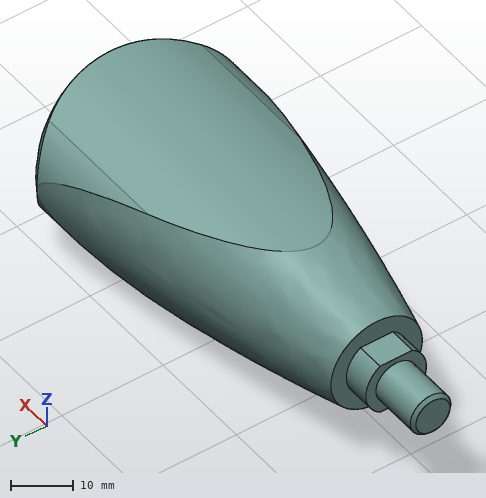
import cadquery as cq
import math

total_length = 92.2
collar_start = 10.05
grip_start = 15.4
rim_position = 79.9

stud_diameter = 8.0
stud_chamfer = 0.6
collar_diameter = 12.0
collar_across_flats = 10.1

grip_start_diameter = 18.1
rim_diameter = 41.0
side_bulge = 1.3

oval_width = 41.0
oval_height = 26.0
oval_end_radius = 10.4


def make_stud():
    stud = cq.Workplane("YZ").circle(stud_diameter / 2).extrude(grip_start)
    return stud.faces("<X").chamfer(stud_chamfer)


def make_collar():
    collar_length = grip_start - collar_start
    collar = cq.Workplane("YZ", origin=(collar_start, 0, 0)).circle(collar_diameter / 2).extrude(collar_length)
    flats = cq.Workplane("YZ", origin=(collar_start, 0, 0)).rect(collar_diameter, collar_across_flats)
    return collar.intersect(flats.extrude(collar_length))


def make_turned_grip():
    start_radius = grip_start_diameter / 2
    rim_radius = rim_diameter / 2

    chord_angle = math.atan2(rim_radius - start_radius, rim_position - grip_start)
    side_middle = (
        (grip_start + rim_position) / 2 - side_bulge * math.sin(chord_angle),
        (start_radius + rim_radius) / 2 + side_bulge * math.cos(chord_angle),
    )

    dome_height = total_length - rim_position
    dome_radius = (rim_radius**2 + dome_height**2) / (2 * dome_height)
    dome_half_angle = math.asin(rim_radius / dome_radius) / 2
    dome_middle = (
        total_length - dome_radius * (1 - math.cos(dome_half_angle)),
        dome_radius * math.sin(dome_half_angle),
    )

    profile = (
        cq.Workplane("XY")
        .moveTo(grip_start, 0)
        .lineTo(grip_start, start_radius)
        .threePointArc(side_middle, (rim_position, rim_radius))
        .threePointArc(dome_middle, (total_length, 0))
        .close()
    )
    return profile.revolve(360, (0, 0, 0), (1, 0, 0))


def make_oval_bar():
    half_width = oval_width / 2
    half_height = oval_height / 2

    end_centre = half_width - oval_end_radius
    broad_radius = (half_height**2 + end_centre**2 - oval_end_radius**2) / (2 * (half_height - oval_end_radius))
    centre_distance = broad_radius - oval_end_radius
    joint_y = broad_radius * end_centre / centre_distance
    joint_z = oval_end_radius * (broad_radius - half_height) / centre_distance

    oval = (
        cq.Workplane("YZ", origin=(grip_start, 0, 0))
        .moveTo(-joint_y, joint_z)
        .threePointArc((0, half_height), (joint_y, joint_z))
        .threePointArc((half_width, 0), (joint_y, -joint_z))
        .threePointArc((0, -half_height), (-joint_y, -joint_z))
        .threePointArc((-half_width, 0), (-joint_y, joint_z))
        .close()
    )
    return oval.extrude(total_length - grip_start)


grip = make_turned_grip().intersect(make_oval_bar())
result = grip.union(make_collar()).union(make_stud())